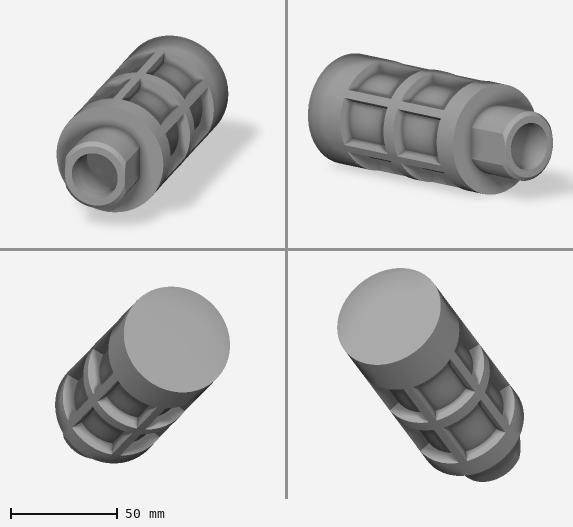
import cadquery as cq
import math

total_length = 129.5
body_diameter = 52.5
spigot_length = 24.5
spigot_diameter = 33.0
flat_width = 29.4
chamfer_length = 1.8
bore_diameter = 22.5
bore_depth = spigot_length

window_count = 6
window_floor_radius = 20.6
rib_width = 4.1
front_band = 11.8
middle_band = 7.1
rear_band = 23.5

body_radius = body_diameter / 2
pitch_angle = 360 / window_count
rib_angle = 2 * math.degrees(math.asin(rib_width / 2 / body_radius))
window_angle = pitch_angle - rib_angle
window_length = (total_length - spigot_length - front_band - middle_band - rear_band) / 2
front_row_start = spigot_length + front_band
rear_row_start = front_row_start + window_length + middle_band


def cylinder(diameter, start, length):
    """Solid cylinder along +Y from Y = start."""
    return cq.Workplane("XZ", origin=(0, start, 0)).circle(diameter / 2).extrude(-length)


def make_spigot():
    """Chamfered round spigot with a flat on each X side."""
    end_radius = flat_width / 2
    side_radius = spigot_diameter / 2
    turned = (
        cq.Workplane("XY")
        .moveTo(0, 0)
        .lineTo(end_radius, 0)
        .lineTo(side_radius, chamfer_length)
        .lineTo(side_radius, spigot_length)
        .lineTo(0, spigot_length)
        .close()
        .revolve(360, (0, 0, 0), (0, 1, 0))
    )
    flats = cq.Workplane("XY").box(flat_width, 2 * spigot_length, spigot_diameter)
    return turned.intersect(flats)


def make_window(start):
    """Ring sector centred on +X, cut down to the window floor."""
    half_angle = math.radians(window_angle / 2)
    cut_radius = body_radius + 1.3

    def point(radius, angle):
        return radius * math.cos(angle), radius * math.sin(angle)

    return (
        cq.Workplane("XZ", origin=(0, start, 0))
        .moveTo(*point(window_floor_radius, -half_angle))
        .lineTo(*point(cut_radius, -half_angle))
        .threePointArc((cut_radius, 0), point(cut_radius, half_angle))
        .lineTo(*point(window_floor_radius, half_angle))
        .threePointArc((window_floor_radius, 0), point(window_floor_radius, -half_angle))
        .close()
        .extrude(-window_length)
    )


body = cylinder(body_diameter, spigot_length, total_length - spigot_length)
for row_start in (front_row_start, rear_row_start):
    window = make_window(row_start)
    for index in range(window_count):
        body = body.cut(window.rotate((0, 0, 0), (0, 1, 0), index * pitch_angle))

bore = cylinder(bore_diameter, 0, bore_depth)
result = body.union(make_spigot()).cut(bore)